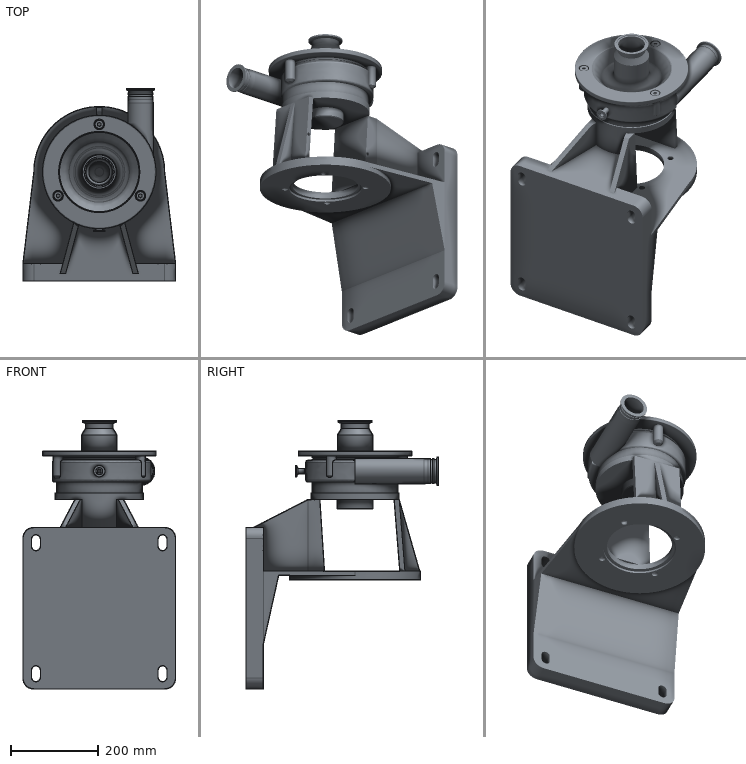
import cadquery as cq
import math


plate_width = 350.0
plate_height = 370.0
plate_thickness = 40.0
plate_back_y = -250.0
plate_front_y = plate_back_y + plate_thickness
plate_corner_radius = 25.0
slot_width = 20.0
slot_length = 36.0
slot_spacing_x = 290.0
slot_spacing_z = 300.0

shelf_top_z = 270.0
shelf_thickness = 10.0
shelf_bottom_z = shelf_top_z - shelf_thickness
motor_disc_radius = 150.0
motor_disc_thickness = 20.0
motor_bore_radius = 75.0
motor_recess_radius = 83.0
motor_recess_depth = 5.0
motor_bolt_circle_radius = 92.5
motor_bolt_hole_diameter = 14.0
rib_thickness = 12.0
wedge_length = 35.0
wedge_foot_z = 103.0

leg_top_z = 434.0
back_flange_top_z = 449.5
volute_bottom_z = 474.0
volute_top_z = 524.0
cover_bottom_z = 534.0
cover_top_z = 545.0
nozzle_center_z = (volute_bottom_z + volute_top_z) / 2
pump_top_z = 614.5

leg_half_width = 56.0
front_leg_foot_y = 102.0
front_leg_lean = 13.0
front_leg_thickness = 12.0
front_rib_foot_y = 148.0
rear_leg_foot_y = -70.0
rear_leg_lean = -10.5
rear_leg_corner_y = -108.0
gusset_angle = 15.0
gusset_end_y = -233.0
leg_hole_diameter = 8.0
leg_hole_depth = 15.0
leg_hole_z = 340.0
front_leg_hole_y = 102.5
rear_leg_hole_y = -80.0

back_flange_radius = 101.0
back_body_radius = 98.5
hub_radius = 41.5
hub_bottom_z = 412.0
hub_chamfer = 2.0
volute_start_radius = 101.5
volute_growth = 17.5
discharge_turn = 270.0
spiral_steps = 12
volute_fillet = 5.0
neck_radius = 97.0
neck_ring_radius = 98.5
lower_ring_top_z = 525.5
upper_ring_bottom_z = 530.0

cover_radius = 130.0
cover_edge_fillet = 1.5
bowl_rim_radius = 93.0
bowl_rim_width = 2.0
bowl_rim_drop = 1.0
bowl_wall_foot_radius = 69.0
bowl_wall_foot_z = 521.0
bowl_floor_outer_radius = 58.5
bowl_floor_inner_radius = 55.0
bowl_floor_z = 518.0
suction_radius = 40.5
suction_taper_bottom_z = 582.0
suction_taper_top_z = 596.5
suction_neck_radius = 32.0
suction_ferrule_radius = 39.0
suction_ferrule_lip = 3.5
suction_ferrule_taper = 3.0
suction_recess_radius = 34.5
suction_recess_depth = 1.5
suction_mouth_radius = 30.5
suction_bore_radius = 24.0
suction_bore_floor_radius = 10.0
suction_bore_taper_top_z = 565.0
suction_bore_taper_bottom_z = 550.0
suction_bore_bottom_z = 485.0

bolt_circle_radius = 109.0
bolt_angles = (90.0, 210.0, 330.0)
bolt_post_radius = 11.5
bolt_post_bottom_z = 483.0
bolt_post_chamfer = 5.0
bolt_recess_radius = 12.0
bolt_recess_depth = 8.0
bolt_head_radius = 9.5
bolt_head_height = 7.0
bolt_socket_width = 8.0
bolt_socket_depth = 4.0

discharge_x = 94.6
discharge_end_y = 191.0
discharge_radius = 29.2
discharge_taper_start_y = 158.0
discharge_taper_end_y = 166.5
discharge_bead_radius = 28.4
discharge_neck_radius = 27.2
discharge_groove_start_y = 172.5
discharge_groove_end_y = 177.0
discharge_bead_end_y = 181.0
discharge_ferrule_radius = 32.5
discharge_ferrule_lip = 3.0
discharge_ferrule_taper = 2.0
discharge_bore_radius = 24.0
discharge_bore_depth = 150.0

drain_end_y = -136.5
drain_radius = 6.5
drain_ferrule_radius = 13.0
drain_ferrule_lip = 2.5
drain_ferrule_taper = 3.0
drain_recess_radius = 8.0
drain_recess_depth = 1.5
drain_bore_radius = 4.5
drain_bore_depth = 20.0


def block(x_min, x_max, y_min, y_max, z_min, z_max):
    size = (x_max - x_min, y_max - y_min, z_max - z_min)
    return cq.Workplane("XY").box(*size, centered=False).translate((x_min, y_min, z_min))


def disc(radius, z_min, z_max):
    return cq.Workplane("XY").workplane(offset=z_min).circle(radius).extrude(z_max - z_min)


def side_profile(points, thickness):
    """Plate outlined in (Y, Z), with its thickness centred on X = 0."""
    return cq.Workplane("YZ").polyline(points).close().extrude(thickness / 2, both=True)


def mounting_plate():
    plate = block(-plate_width / 2, plate_width / 2, plate_back_y, plate_front_y, 0, plate_height)
    plate = plate.edges("|Y").fillet(plate_corner_radius)
    slots = (
        cq.Workplane("XZ", origin=(0, plate_front_y, plate_height / 2))
        .rarray(slot_spacing_x, slot_spacing_z, 2, 2)
        .slot2D(slot_length, slot_width, 90)
        .extrude(plate_thickness)
    )
    return plate.cut(slots)


def motor_shelf():
    """Shelf with the motor disc at its end and a wedge underneath against the mounting plate."""
    half_width = plate_width / 2
    outline = (
        cq.Workplane("XY")
        .moveTo(-half_width, plate_front_y)
        .lineTo(half_width, plate_front_y)
        .lineTo(motor_disc_radius, 0)
        .threePointArc((0, motor_disc_radius), (-motor_disc_radius, 0))
        .close()
        .extrude(shelf_top_z)
    )
    side_shape = [
        (plate_front_y, shelf_top_z),
        (motor_disc_radius, shelf_top_z),
        (motor_disc_radius, shelf_bottom_z),
        (plate_front_y + wedge_length, shelf_bottom_z),
        (plate_front_y, wedge_foot_z),
    ]
    shelf = outline.intersect(side_profile(side_shape, plate_width))
    shelf = shelf.union(disc(motor_disc_radius, shelf_top_z - motor_disc_thickness, shelf_top_z))
    holes = (
        cq.Workplane("XY", origin=(0, 0, shelf_top_z))
        .polarArray(motor_bolt_circle_radius, 45, 360, 4)
        .circle(motor_bolt_hole_diameter / 2)
        .extrude(-motor_disc_thickness)
    )
    disc_bottom_z = shelf_top_z - motor_disc_thickness
    bore = disc(motor_bore_radius, disc_bottom_z, shelf_top_z)
    recess = disc(motor_recess_radius, disc_bottom_z, disc_bottom_z + motor_recess_depth)
    return shelf.cut(holes).cut(bore).cut(recess)


def leg_hole(y):
    start = (-leg_half_width, y, leg_hole_z)
    return cq.Workplane("YZ", origin=start).circle(leg_hole_diameter / 2).extrude(leg_hole_depth)


def front_leg():
    foot_inner = front_leg_foot_y
    top_inner = foot_inner - front_leg_lean
    foot_outer = foot_inner + front_leg_thickness
    top_outer = top_inner + front_leg_thickness
    wall = [
        (foot_inner, shelf_top_z),
        (foot_outer, shelf_top_z),
        (top_outer, leg_top_z),
        (top_inner, leg_top_z),
    ]
    rib = [
        (foot_inner, shelf_top_z),
        (front_rib_foot_y, shelf_top_z),
        (top_outer, leg_top_z),
        (top_inner, leg_top_z),
    ]
    leg = side_profile(wall, 2 * leg_half_width)
    leg = leg.union(side_profile(rib, rib_thickness))
    return leg.cut(leg_hole(front_leg_hole_y))


def gusset_pair():
    """Two splayed plates from the rear leg to the mounting plate, with solid filling between them."""
    splay = math.tan(math.radians(gusset_angle))
    width_x = rib_thickness / math.cos(math.radians(gusset_angle))
    end_x = leg_half_width + splay * (rear_leg_corner_y - gusset_end_y)
    inner_start_x = leg_half_width - width_x - splay * (rear_leg_foot_y - rear_leg_corner_y)
    left_outline = [
        (-leg_half_width, rear_leg_foot_y),
        (-leg_half_width, rear_leg_corner_y),
        (-end_x, gusset_end_y),
        (-end_x + width_x, gusset_end_y),
        (-inner_start_x, rear_leg_foot_y),
    ]
    filling_outline = [
        (-inner_start_x, rear_leg_foot_y),
        (-end_x + width_x, gusset_end_y),
        (end_x - width_x, gusset_end_y),
        (inner_start_x, rear_leg_foot_y),
    ]
    base = cq.Workplane("XY", origin=(0, 0, shelf_top_z))
    footprint = base.polyline(left_outline).close().extrude(leg_top_z - shelf_top_z)
    side_shape = [
        (0, shelf_top_z),
        (0, leg_top_z),
        (rear_leg_corner_y, leg_top_z),
        (gusset_end_y, plate_height),
        (gusset_end_y, shelf_top_z),
    ]
    gusset = footprint.intersect(side_profile(side_shape, plate_width))
    filling = base.polyline(filling_outline).close().extrude(plate_height - shelf_top_z)
    return gusset.union(gusset.mirror("YZ")).union(filling)


def rear_leg():
    """Round-backed leg with a leaning flat inner face, carrying both gussets."""
    column = disc(back_flange_radius, shelf_top_z, leg_top_z)
    column = column.intersect(
        block(-leg_half_width, leg_half_width, -back_flange_radius, 0, shelf_top_z, leg_top_z)
    )
    inner_cut = side_profile(
        [
            (rear_leg_foot_y, shelf_top_z),
            (rear_leg_foot_y + rear_leg_lean, leg_top_z),
            (0, leg_top_z),
            (0, shelf_top_z),
        ],
        plate_width,
    )
    return column.union(gusset_pair()).cut(inner_cut).cut(leg_hole(rear_leg_hole_y))


def volute():
    """Spiral casing growing steadily from +Y through -X and -Y to +X, where the discharge leaves."""
    spiral_points = []
    for step in range(spiral_steps + 1):
        turned = discharge_turn * step / spiral_steps
        angle = math.pi / 2 + math.radians(turned)
        radius = volute_start_radius + volute_growth * turned / discharge_turn
        spiral_points.append((radius * math.cos(angle), radius * math.sin(angle)))
    arc_middle = volute_start_radius * math.sqrt(0.5)
    casing = (
        cq.Workplane("XY", origin=(0, 0, volute_bottom_z))
        .moveTo(*spiral_points[0])
        .spline(spiral_points[1:], includeCurrent=True)
        .lineTo(volute_start_radius, 0)
        .threePointArc((arc_middle, arc_middle), spiral_points[0])
        .close()
        .extrude(volute_top_z - volute_bottom_z)
    )
    return casing.faces("<Z or >Z").edges().fillet(volute_fillet)


def pump_body():
    hub = disc(hub_radius, hub_bottom_z, leg_top_z).faces("<Z").edges().chamfer(hub_chamfer)
    body = hub.union(disc(back_flange_radius, leg_top_z, back_flange_top_z))
    body = body.union(disc(back_body_radius, back_flange_top_z, volute_bottom_z + volute_fillet))
    body = body.union(volute()).union(disc(neck_radius, volute_bottom_z, cover_bottom_z))
    body = body.union(disc(neck_ring_radius, volute_bottom_z + volute_fillet, lower_ring_top_z))
    return body.union(disc(neck_ring_radius, upper_ring_bottom_z, cover_bottom_z))


def cover_with_bowl(body):
    cover = disc(cover_radius, cover_bottom_z, cover_top_z).edges().fillet(cover_edge_fillet)
    fillet_radius = bowl_floor_inner_radius - suction_radius
    arc_mid_offset = fillet_radius * (1 - math.sqrt(0.5))
    bowl = (
        cq.Workplane("XZ")
        .moveTo(suction_radius, cover_top_z)
        .lineTo(bowl_rim_radius, cover_top_z)
        .lineTo(bowl_rim_radius - bowl_rim_width, cover_top_z - bowl_rim_drop)
        .lineTo(bowl_wall_foot_radius, bowl_wall_foot_z)
        .spline(
            [(bowl_floor_outer_radius, bowl_floor_z)],
            tangents=[(-1, -1), (-1, 0)],
            includeCurrent=True,
        )
        .lineTo(bowl_floor_inner_radius, bowl_floor_z)
        .threePointArc(
            (suction_radius + arc_mid_offset, bowl_floor_z + arc_mid_offset),
            (suction_radius, bowl_floor_z + fillet_radius),
        )
        .close()
        .revolve(360, (0, 0, 0), (0, 1, 0))
    )
    return body.union(cover).cut(bowl)


def suction_nozzle():
    lip_bottom_z = pump_top_z - suction_ferrule_lip
    profile = [
        (0, bowl_floor_z),
        (suction_radius, bowl_floor_z),
        (suction_radius, suction_taper_bottom_z),
        (suction_neck_radius, suction_taper_top_z),
        (suction_neck_radius, lip_bottom_z - suction_ferrule_taper),
        (suction_ferrule_radius, lip_bottom_z),
        (suction_ferrule_radius, pump_top_z),
        (0, pump_top_z),
    ]
    return cq.Workplane("XZ").polyline(profile).close().revolve(360, (0, 0, 0), (0, 1, 0))


def suction_bore():
    """Gasket recess and tapering bore, closed by a rounded end."""
    recess_bottom_z = pump_top_z - suction_recess_depth
    end_radius = suction_bore_radius - suction_bore_floor_radius
    arc_offset = end_radius * math.sqrt(0.5)
    arc_center_z = suction_bore_bottom_z + end_radius
    return (
        cq.Workplane("XZ")
        .moveTo(0, pump_top_z)
        .lineTo(suction_recess_radius, pump_top_z)
        .lineTo(suction_recess_radius, recess_bottom_z)
        .lineTo(suction_mouth_radius, recess_bottom_z)
        .lineTo(suction_mouth_radius, suction_bore_taper_top_z)
        .lineTo(suction_bore_radius, suction_bore_taper_bottom_z)
        .lineTo(suction_bore_radius, arc_center_z)
        .threePointArc(
            (suction_bore_floor_radius + arc_offset, arc_center_z - arc_offset),
            (suction_bore_floor_radius, suction_bore_bottom_z),
        )
        .lineTo(0, suction_bore_bottom_z)
        .close()
        .revolve(360, (0, 0, 0), (0, 1, 0))
    )


def discharge_nozzle():
    lip_start_y = discharge_end_y - discharge_ferrule_lip
    profile = [
        (0, 0),
        (discharge_radius, 0),
        (discharge_radius, discharge_taper_start_y),
        (discharge_bead_radius, discharge_taper_end_y),
        (discharge_bead_radius, discharge_groove_start_y),
        (discharge_neck_radius, discharge_groove_start_y),
        (discharge_neck_radius, discharge_groove_end_y),
        (discharge_bead_radius, discharge_groove_end_y),
        (discharge_bead_radius, discharge_bead_end_y),
        (discharge_neck_radius, discharge_bead_end_y),
        (discharge_neck_radius, lip_start_y - discharge_ferrule_taper),
        (discharge_ferrule_radius, lip_start_y),
        (discharge_ferrule_radius, discharge_end_y),
        (0, discharge_end_y),
    ]
    nozzle = cq.Workplane("XY").polyline(profile).close().revolve(360, (0, 0, 0), (0, 1, 0))
    return nozzle.translate((discharge_x, 0, nozzle_center_z))


def discharge_bore():
    start = (discharge_x, discharge_end_y, nozzle_center_z)
    return cq.Workplane("XZ", origin=start).circle(discharge_bore_radius).extrude(discharge_bore_depth)


def drain_nozzle():
    lip_start_y = drain_end_y + drain_ferrule_lip
    profile = [
        (0, -neck_radius),
        (drain_radius, -neck_radius),
        (drain_radius, lip_start_y + drain_ferrule_taper),
        (drain_ferrule_radius, lip_start_y),
        (drain_ferrule_radius, drain_end_y),
        (0, drain_end_y),
    ]
    nozzle = cq.Workplane("XY").polyline(profile).close().revolve(360, (0, 0, 0), (0, 1, 0))
    return nozzle.translate((0, 0, nozzle_center_z))


def drain_bore():
    face = cq.Workplane("XZ", origin=(0, drain_end_y, nozzle_center_z))
    bore = face.circle(drain_bore_radius).extrude(-drain_bore_depth)
    return bore.union(face.circle(drain_recess_radius).extrude(-drain_recess_depth))


def add_cover_bolt(body, angle):
    x = bolt_circle_radius * math.cos(math.radians(angle))
    y = bolt_circle_radius * math.sin(math.radians(angle))
    post = disc(bolt_post_radius, bolt_post_bottom_z, cover_bottom_z)
    post = post.faces("<Z").edges().chamfer(bolt_post_chamfer)
    recess_bottom_z = cover_top_z - bolt_recess_depth
    head_top_z = recess_bottom_z + bolt_head_height
    socket = (
        cq.Workplane("XY", origin=(0, 0, head_top_z))
        .polygon(6, bolt_socket_width, circumscribed=True)
        .extrude(-bolt_socket_depth)
    )
    head = disc(bolt_head_radius, recess_bottom_z, head_top_z).cut(socket)
    recess = disc(bolt_recess_radius, recess_bottom_z, cover_top_z).cut(head)
    return body.union(post.translate((x, y, 0))).cut(recess.translate((x, y, 0)))


frame = mounting_plate().union(motor_shelf()).union(front_leg()).union(rear_leg())

pump = pump_body().union(discharge_nozzle()).union(drain_nozzle())
pump = cover_with_bowl(pump).union(suction_nozzle())
for bolt_angle in bolt_angles:
    pump = add_cover_bolt(pump, bolt_angle)
pump = pump.cut(suction_bore()).cut(discharge_bore()).cut(drain_bore())

result = frame.union(pump)